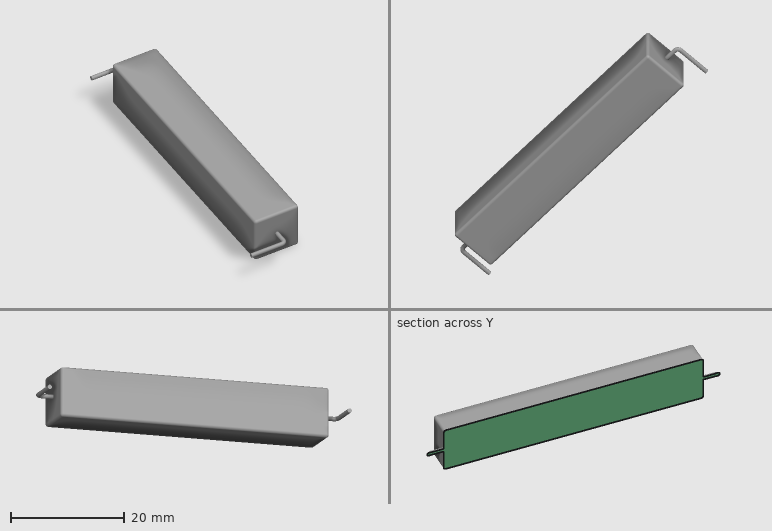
import cadquery as cq

body_length = 50.0
body_side = 9.0
edge_radius = 0.5

lead_diameter = 0.8
lead_pitch = 55.88
lead_overhang = 2.5
bend_radius = 0.75
lead_embedding = 0.5

lead_x = lead_pitch / 2
lead_tip_y = -(body_side / 2 + lead_overhang)
body_end_x = body_length / 2


def make_body():
    return cq.Workplane("XY").box(body_length, body_side, body_side).edges().fillet(edge_radius)


def make_lead(side):
    """Bent round wire on the +X (side = 1) or -X (side = -1) end of the body."""
    root_x = side * (body_end_x - lead_embedding)
    tip_x = side * lead_x
    centreline = (
        cq.Workplane("XY")
        .moveTo(root_x, 0)
        .lineTo(side * (lead_x - bend_radius), 0)
        .tangentArcPoint((tip_x, -bend_radius), relative=False)
        .lineTo(tip_x, lead_tip_y)
    )
    profile = cq.Workplane("YZ", origin=(root_x, 0, 0)).circle(lead_diameter / 2)
    return profile.sweep(centreline)


result = make_body()
for side in (-1, 1):
    result = result.union(make_lead(side))